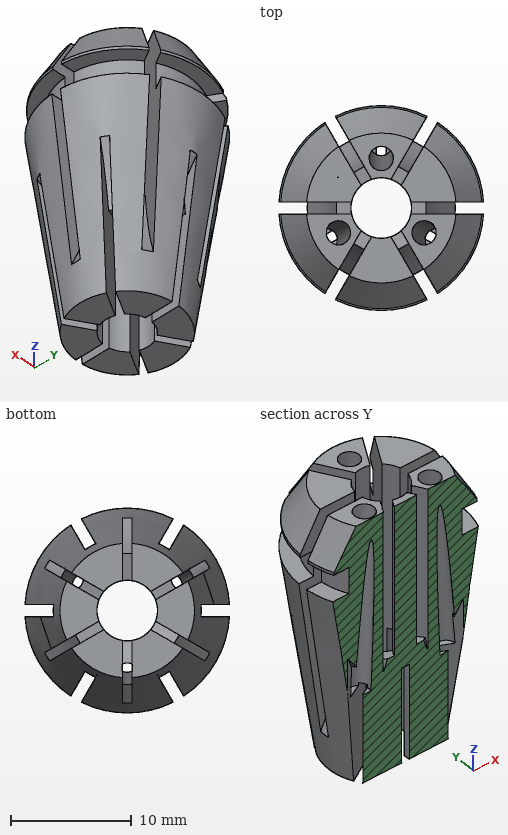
import cadquery as cq
import math

total_height = 27.5
body_height = 20.8
rim_bottom = 23.5
rim_top = 23.8

body_radius = 8.5
neck_radius = 6.9
rim_radius = 8.35
bore_radius = 2.5

body_taper = 8.0
head_taper = 30.0

slots_per_end = 6
slot_pitch = 360.0 / slots_per_end
head_saw_radius = 25.0
tail_saw_radius = 20.0
head_slot_width = 1.0
head_slot_end = 4.0
head_slot_floor = 11.8
head_slot_inner_slope = 8.0
tail_slot_width = 0.8
tail_slot_end = 14.95
tail_slot_floor = 9.42
tail_slot_inner_slope = 19.0

hole_count = 3
hole_diameter = 2.0
hole_circle_radius = 4.1
hole_lean = 4.0
hole_depth = 18.2
first_hole_angle = 90.0

clearance = 1.0


def tan_deg(angle):
    return math.tan(math.radians(angle))


def body_radius_at(height):
    return body_radius - (body_height - height) * tan_deg(body_taper)


def make_blank():
    """Collet without slots: taper body, neck groove and conical head around the bore."""
    head_face_radius = rim_radius - (total_height - rim_top) * tan_deg(head_taper)
    return (
        cq.Workplane("XZ")
        .moveTo(bore_radius, 0)
        .lineTo(body_radius_at(0), 0)
        .lineTo(body_radius, body_height)
        .lineTo(neck_radius, body_height)
        .lineTo(neck_radius, rim_bottom)
        .lineTo(rim_radius, rim_bottom)
        .lineTo(rim_radius, rim_top)
        .lineTo(head_face_radius, total_height)
        .lineTo(bore_radius, total_height)
        .close()
        .revolve(360, (0, 0, 0), (0, 1, 0))
    )


def saw_profile(slot_end, floor_height, inner_slope, saw_radius, open_height):
    """Side outline of a slot: an inner floor, then a saw arc out to the taper.

    The floor is square to the start of the arc, which leaves at inner_slope to the axis.
    """
    upward = math.copysign(1, floor_height - slot_end)
    inner_angle = math.radians(inner_slope)
    rise = abs(floor_height - slot_end)
    outer_angle = math.asin(math.sin(inner_angle) + rise / saw_radius)
    run = saw_radius * (math.cos(inner_angle) - math.cos(outer_angle))
    arc_outer_radius = body_radius_at(slot_end)
    arc_inner_radius = arc_outer_radius - run
    axis_height = floor_height - upward * arc_inner_radius * math.tan(inner_angle)
    return (
        cq.Workplane("XZ")
        .moveTo(0, open_height)
        .lineTo(0, axis_height)
        .lineTo(arc_inner_radius, floor_height)
        .radiusArc((arc_outer_radius, slot_end), -upward * saw_radius)
        .lineTo(body_radius + clearance, slot_end)
        .lineTo(body_radius + clearance, open_height)
        .close()
    )


def cut_around(part, cutter, count, first_angle):
    for index in range(count):
        angle = first_angle + index * 360.0 / count
        part = part.cut(cutter.rotate((0, 0, 0), (0, 0, 1), angle))
    return part


def make_hole_cutter():
    """Leaning cylinder that enters the head face on the X axis and ends flat."""
    lean = math.radians(hole_lean)
    direction = cq.Vector(math.sin(lean), 0, -math.cos(lean))
    start = cq.Vector(hole_circle_radius, 0, total_height) - direction * clearance
    return cq.Workplane(
        cq.Solid.makeCylinder(hole_diameter / 2, hole_depth + clearance, start, direction)
    )


head_slot = saw_profile(
    head_slot_end, head_slot_floor, head_slot_inner_slope, head_saw_radius, total_height + clearance
).extrude(head_slot_width / 2, both=True)
tail_slot = saw_profile(
    tail_slot_end, tail_slot_floor, tail_slot_inner_slope, tail_saw_radius, -clearance
).extrude(tail_slot_width / 2, both=True)

result = make_blank()
result = cut_around(result, head_slot, slots_per_end, 0)
result = cut_around(result, tail_slot, slots_per_end, slot_pitch / 2)
result = cut_around(result, make_hole_cutter(), hole_count, first_hole_angle)